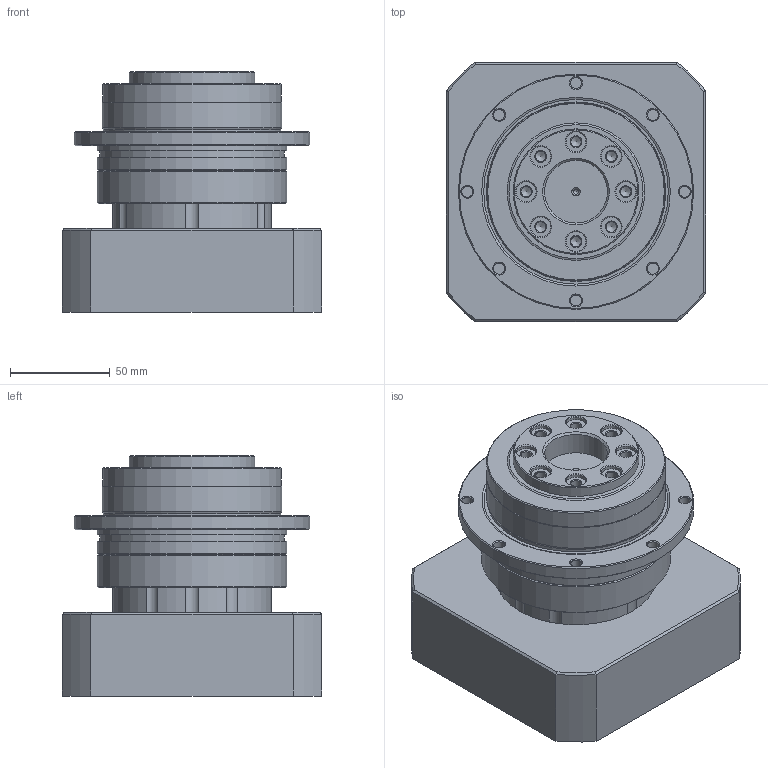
import cadquery as cq
import math

TOTAL_HEIGHT = 120.4
BASE_TOP = 42.0
NECK_TOP = TOTAL_HEIGHT - 66.0
GEAR_RING_TOP = 70.9
FLANGE_TOP = TOTAL_HEIGHT - 30.0
FLANGE_BOTTOM = FLANGE_TOP - 7.0
COVER_BOTTOM = 105.3
HOUSING_TOP = 114.4
OUTPUT_BOTTOM = 96.0

EDGE_CHAMFER = 0.5

BASE_WIDTH = 130.0
BASE_CORNER_RADIUS = 82.5
BASE_CHAMFER = 1.0

BODY_RADIUS = 47.5
NECK_RADIUS = 40.0
NECK_DEPTH_IN_BASE = 8.0
NECK_BOTTOM = BASE_TOP - NECK_DEPTH_IN_BASE
SCALLOP_DIAMETER = 9.0
SCALLOP_CENTRE_RADIUS = 43.0
SCALLOP_ANGLES = (0, 30, 90, 150, 180, 210, 270, 330)

FLANGE_RADIUS = 59.0
GROOVE_RADIUS = 46.2
GROOVE_BOTTOM = 77.6
GROOVE_TOP = 80.9
PILOT_RADIUS = 45.0
COVER_RADIUS = 44.8
SEAM_CHAMFER = 0.25
RELIEF_DEPTH = 0.5
RELIEF_START = FLANGE_TOP + 2.1
RELIEF_TAPER_END = FLANGE_TOP + 1.0
RELIEF_FLOOR = FLANGE_TOP - RELIEF_DEPTH
RELIEF_FLOOR_RADIUS = 46.3
RELIEF_OUTER_RADIUS = 47.3
FLANGE_HOLE_DIAMETER = 5.5
FLANGE_HOLE_MOUTH = 6.5
FLANGE_BOLT_CIRCLE = 109.0

OUTPUT_RADIUS = 63.0 / 2
SHOULDER_RADIUS = 34.5
SHOULDER_TOP = HOUSING_TOP + 0.4
SHOULDER_CHAMFER_RUN = 0.9
SHOULDER_CHAMFER_DROP = 0.4
BORE_RADIUS = 31.5 / 2
BORE_MOUTH_RADIUS = 16.7
BORE_CHAMFER_DEPTH = 1.0
BORE_DEPTH = 12.2
BORE_FLOOR = TOTAL_HEIGHT - BORE_DEPTH
OUTPUT_HOLE_CIRCLE = 50.0
COUNTERBORE_DIAMETER = 10.0
COUNTERBORE_MOUTH = 10.9
COUNTERBORE_DEPTH = 2.0
THREAD_HOLE_DIAMETER = 5.2
THREAD_HOLE_MOUTH = 6.0
THREAD_HOLE_DEPTH = 14.0
CENTRE_HOLE_DIAMETER = 2.5
CENTRE_HOLE_MOUTH = 4.2
CENTRE_HOLE_DEPTH = 8.0
DRILL_POINT_HALF_ANGLE = 59.0

HOLE_COUNT = 8


def revolved(profile):
    """Turn a closed (radius, height) outline about the Z axis."""
    return cq.Workplane("XZ").polyline(profile).close().revolve(360, (0, 0, 0), (0, 1, 0))


def ring_points(circle_diameter):
    """Equally spaced hole centres, the first one on +X."""
    radius = circle_diameter / 2
    angles = [math.radians(360 * i / HOLE_COUNT) for i in range(HOLE_COUNT)]
    return [(radius * math.cos(a), radius * math.sin(a)) for a in angles]


def drill_point(diameter):
    """Height of the cone left by a drill of this diameter."""
    return diameter / 2 / math.tan(math.radians(DRILL_POINT_HALF_ANGLE))


def make_base():
    """Square block whose corners are turned to a common circle, with a round recess for the neck."""
    block = cq.Workplane("XY").rect(BASE_WIDTH, BASE_WIDTH).extrude(BASE_TOP)
    turned = cq.Workplane("XY").circle(BASE_CORNER_RADIUS).extrude(BASE_TOP)
    recess = (
        cq.Workplane("XY", origin=(0, 0, NECK_BOTTOM))
        .circle(NECK_RADIUS)
        .extrude(NECK_DEPTH_IN_BASE)
    )
    return block.intersect(turned).faces(">Z").chamfer(BASE_CHAMFER).cut(recess)


def make_gear_ring():
    """Cylinder on a narrower neck that has screw clearance scallops around it."""
    ring = revolved([
        (0, NECK_BOTTOM),
        (NECK_RADIUS, NECK_BOTTOM),
        (NECK_RADIUS, NECK_TOP),
        (BODY_RADIUS - EDGE_CHAMFER, NECK_TOP),
        (BODY_RADIUS, NECK_TOP + EDGE_CHAMFER),
        (BODY_RADIUS, GEAR_RING_TOP - EDGE_CHAMFER),
        (BODY_RADIUS - EDGE_CHAMFER, GEAR_RING_TOP),
        (0, GEAR_RING_TOP),
    ])
    for angle in SCALLOP_ANGLES:
        a = math.radians(angle)
        scallop = (
            cq.Workplane("XY", origin=(0, 0, NECK_BOTTOM))
            .center(SCALLOP_CENTRE_RADIUS * math.cos(a), SCALLOP_CENTRE_RADIUS * math.sin(a))
            .circle(SCALLOP_DIAMETER / 2)
            .extrude(NECK_TOP - NECK_BOTTOM)
        )
        ring = ring.cut(scallop)
    return ring


def make_housing():
    """Turned housing with mounting flange, ring groove and recess for the output flange."""
    housing = revolved([
        (0, GEAR_RING_TOP),
        (BODY_RADIUS - EDGE_CHAMFER, GEAR_RING_TOP),
        (BODY_RADIUS, GEAR_RING_TOP + EDGE_CHAMFER),
        (BODY_RADIUS, GROOVE_BOTTOM),
        (GROOVE_RADIUS, GROOVE_BOTTOM),
        (GROOVE_RADIUS, GROOVE_TOP),
        (BODY_RADIUS, GROOVE_TOP),
        (BODY_RADIUS, FLANGE_BOTTOM),
        (FLANGE_RADIUS - EDGE_CHAMFER, FLANGE_BOTTOM),
        (FLANGE_RADIUS, FLANGE_BOTTOM + EDGE_CHAMFER),
        (FLANGE_RADIUS, FLANGE_TOP - EDGE_CHAMFER),
        (FLANGE_RADIUS - EDGE_CHAMFER, FLANGE_TOP),
        (RELIEF_OUTER_RADIUS, FLANGE_TOP),
        (RELIEF_FLOOR_RADIUS, RELIEF_FLOOR),
        (PILOT_RADIUS - RELIEF_DEPTH, RELIEF_FLOOR),
        (PILOT_RADIUS - RELIEF_DEPTH, RELIEF_TAPER_END),
        (PILOT_RADIUS, RELIEF_START),
        (PILOT_RADIUS, COVER_BOTTOM - SEAM_CHAMFER),
        (COVER_RADIUS, COVER_BOTTOM),
        (COVER_RADIUS, HOUSING_TOP - EDGE_CHAMFER),
        (COVER_RADIUS - EDGE_CHAMFER, HOUSING_TOP),
        (SHOULDER_RADIUS, HOUSING_TOP),
        (SHOULDER_RADIUS, OUTPUT_BOTTOM),
        (0, OUTPUT_BOTTOM),
    ])
    hole_radius = FLANGE_HOLE_DIAMETER / 2
    mouth_radius = FLANGE_HOLE_MOUTH / 2
    hole = revolved([
        (0, FLANGE_BOTTOM),
        (hole_radius, FLANGE_BOTTOM),
        (hole_radius, FLANGE_TOP - (mouth_radius - hole_radius)),
        (mouth_radius, FLANGE_TOP),
        (0, FLANGE_TOP),
    ])
    for x, y in ring_points(FLANGE_BOLT_CIRCLE):
        housing = housing.cut(hole.translate((x, y, 0)))
    return housing


def output_hole():
    """Counterbored blind thread hole, on the Z axis below the top face."""
    bore_radius = COUNTERBORE_DIAMETER / 2
    bore_mouth = COUNTERBORE_MOUTH / 2
    hole_radius = THREAD_HOLE_DIAMETER / 2
    hole_mouth = THREAD_HOLE_MOUTH / 2
    floor = TOTAL_HEIGHT - COUNTERBORE_DEPTH
    bottom = TOTAL_HEIGHT - THREAD_HOLE_DEPTH
    return revolved([
        (0, bottom - drill_point(THREAD_HOLE_DIAMETER)),
        (hole_radius, bottom),
        (hole_radius, floor - (hole_mouth - hole_radius)),
        (hole_mouth, floor),
        (bore_radius, floor),
        (bore_radius, TOTAL_HEIGHT - (bore_mouth - bore_radius)),
        (bore_mouth, TOTAL_HEIGHT),
        (0, TOTAL_HEIGHT),
    ])


def make_output_flange():
    """Stepped output disc with a central bore, a centre hole and a ring of thread holes."""
    centre_radius = CENTRE_HOLE_DIAMETER / 2
    centre_mouth = CENTRE_HOLE_MOUTH / 2
    centre_bottom = BORE_FLOOR - CENTRE_HOLE_DEPTH
    flange = revolved([
        (0, OUTPUT_BOTTOM),
        (SHOULDER_RADIUS, OUTPUT_BOTTOM),
        (SHOULDER_RADIUS, SHOULDER_TOP - SHOULDER_CHAMFER_DROP),
        (SHOULDER_RADIUS - SHOULDER_CHAMFER_RUN, SHOULDER_TOP),
        (OUTPUT_RADIUS, SHOULDER_TOP),
        (OUTPUT_RADIUS, TOTAL_HEIGHT - EDGE_CHAMFER),
        (OUTPUT_RADIUS - EDGE_CHAMFER, TOTAL_HEIGHT),
        (BORE_MOUTH_RADIUS, TOTAL_HEIGHT),
        (BORE_RADIUS, TOTAL_HEIGHT - BORE_CHAMFER_DEPTH),
        (BORE_RADIUS, BORE_FLOOR),
        (centre_mouth, BORE_FLOOR),
        (centre_radius, BORE_FLOOR - (centre_mouth - centre_radius)),
        (centre_radius, centre_bottom),
        (0, centre_bottom - drill_point(CENTRE_HOLE_DIAMETER)),
    ])
    hole = output_hole()
    for x, y in ring_points(OUTPUT_HOLE_CIRCLE):
        flange = flange.cut(hole.translate((x, y, 0)))
    return flange


base = make_base()
gear_ring = make_gear_ring()
housing = make_housing()
output_flange = make_output_flange()

result = cq.Compound.makeCompound([
    base.val(),
    gear_ring.val(),
    housing.val(),
    output_flange.val(),
])